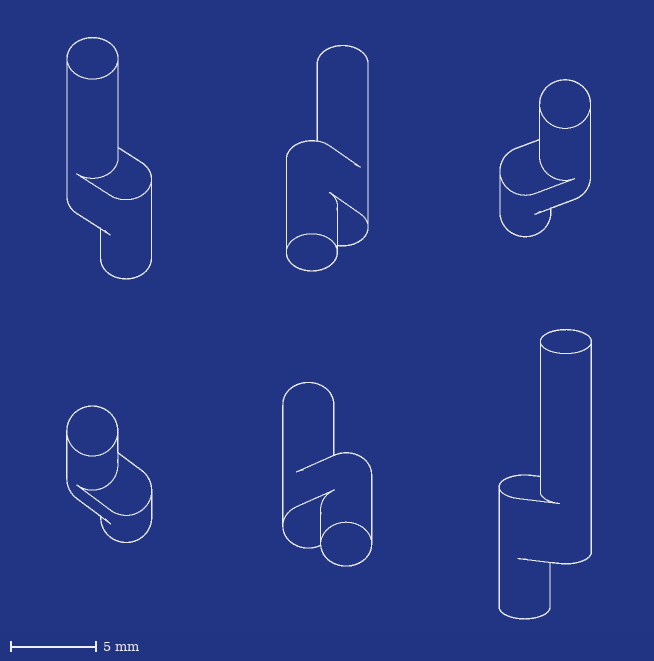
import cadquery as cq

total_height = 18.0
pin_diameter = 3.0
pin_offset = 2.5
web_bottom = 4.0
web_height = 4.0

web_top = web_bottom + web_height


def pin(axis_x, bottom, top):
    """Vertical round pin with its axis at axis_x."""
    return (
        cq.Workplane("XY", origin=(axis_x, 0, bottom))
        .circle(pin_diameter / 2)
        .extrude(top - bottom)
    )


upper_pin = pin(0, web_bottom, total_height)
lower_pin = pin(pin_offset, 0, web_top)

web = (
    cq.Workplane("XY", origin=(pin_offset / 2, 0, web_bottom))
    .rect(pin_offset, pin_diameter)
    .extrude(web_height)
)

result = upper_pin.union(lower_pin).union(web)